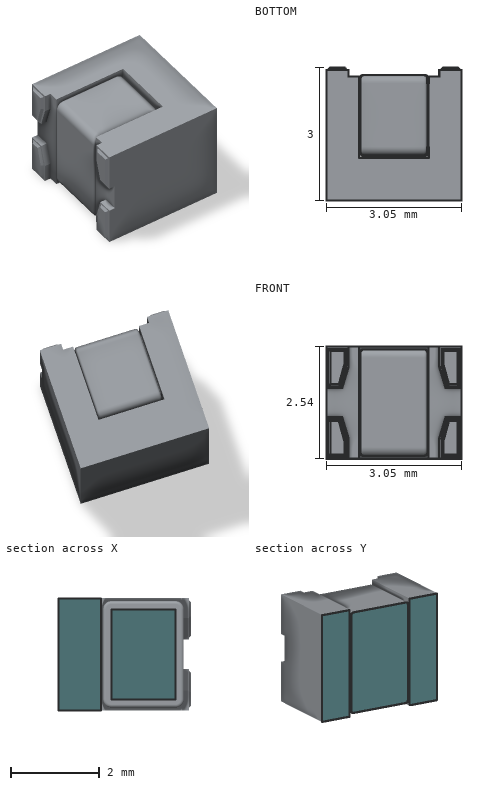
import cadquery as cq

width = 3.05
height = 2.54
total_depth = 3.0
pad_height = 0.05
foot_height = 0.15
foot_front = total_depth - pad_height
leg_front = foot_front - foot_height
back_thickness = 0.97
window_width = 1.568

foot_width = 0.505
foot_tip_width = 0.357
foot_length = 0.942
foot_straight = 0.448

pad_side_gap = 0.043
pad_inner_gap = 0.052
pad_end_gap = 0.055
pad_tip_gap = 0.04
pad_tip_width = 0.323
pad_straight = 0.427
pad_bevel_angle = 45

coil_width = 1.51
coil_depth = 1.818
coil_height = 2.397
coil_radius = 0.183
coil_end_radius = 0.067
coil_back_gap = 0.05
coil_center_y = -(back_thickness + coil_back_gap + coil_depth / 2)


def make_core():
    body = cq.Workplane("XY").box(width, leg_front, height).translate((0, -leg_front / 2, 0))
    window_depth = leg_front - back_thickness
    window = cq.Workplane("XY").box(window_width, window_depth, height)
    return body.cut(window.translate((0, -back_thickness - window_depth / 2, 0)))


def make_coil():
    block = cq.Workplane("XY").box(coil_width, coil_depth, coil_height)
    block = block.edges("|X").fillet(coil_radius)
    block = block.faces("<X or >X").edges().fillet(coil_end_radius)
    return block.translate((0, coil_center_y, 0))


def make_bar():
    """Bar through the coil that joins the two legs."""
    bar_depth = coil_depth - 2 * coil_radius
    bar_height = coil_height - 2 * coil_radius
    return cq.Workplane("XY").box(window_width, bar_depth, bar_height).translate((0, coil_center_y, 0))


def corner_outline(base_y, side, inner, tip_inner, end, straight, tip):
    """Five-sided outline; distances run inward from the upper left corner of the front."""
    distances = [(side, end), (inner, end), (inner, straight), (tip_inner, tip), (side, tip)]
    points = [(across - width / 2, height / 2 - down) for across, down in distances]
    return cq.Workplane("XZ", origin=(0, -base_y, 0)).polyline(points).close()


def make_foot():
    foot = corner_outline(
        leg_front, 0, foot_width, foot_tip_width, 0, foot_straight, foot_length
    ).extrude(foot_height)
    pad = corner_outline(
        foot_front,
        pad_side_gap,
        foot_width - pad_inner_gap,
        pad_tip_width,
        pad_end_gap,
        pad_straight,
        foot_length - pad_tip_gap,
    ).extrude(pad_height, taper=pad_bevel_angle)
    return foot.union(pad)


result = make_core().union(make_bar()).union(make_coil())
upper_left_foot = make_foot()
lower_left_foot = upper_left_foot.mirror("XY")
for left_foot in (upper_left_foot, lower_left_foot):
    result = result.union(left_foot).union(left_foot.mirror("YZ"))